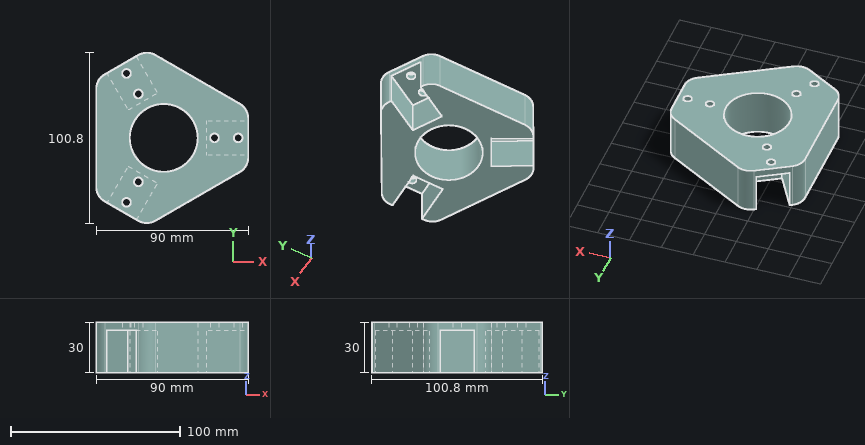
import cadquery as cq
import math

height = 30.0
long_side_distance = 40.0
short_side_distance = 50.0
corner_radius = 10.0
bore_diameter = 40.0

arm_count = 3
arm_step = 360.0 / arm_count
arm_angles = [index * arm_step for index in range(arm_count)]

bolt_hole_diameter = 5.0
bolt_hole_distances = (30.0, 44.0)

slot_width = 20.0
slot_inner_distance = 25.0
roof_thickness = 5.0
slot_height = height - roof_thickness
slot_length = short_side_distance - slot_inner_distance


def turned(x, y, angle):
    """Rotate a point about the Z axis by an angle in degrees."""
    turn = math.radians(angle)
    return (
        x * math.cos(turn) - y * math.sin(turn),
        x * math.sin(turn) + y * math.cos(turn),
    )


def make_body():
    """Six-sided block with rounded upright edges."""
    side_turn = math.radians(arm_step / 2)
    short_half_length = (
        long_side_distance - short_side_distance * math.cos(side_turn)
    ) / math.sin(side_turn)
    corners = [
        turned(short_side_distance, end, angle)
        for angle in arm_angles
        for end in (-short_half_length, short_half_length)
    ]
    block = cq.Workplane("XY").polyline(corners).close().extrude(height)
    return block.edges("|Z").fillet(corner_radius)


def make_bore():
    """Central through bore."""
    return cq.Workplane("XY").circle(bore_diameter / 2).extrude(height)


def make_arm_cut(angle):
    """Slot and bolt holes of one arm."""
    slot = (
        cq.Workplane("XY")
        .center(slot_inner_distance + slot_length / 2, 0)
        .rect(slot_length, slot_width)
        .extrude(slot_height)
    )
    bolt_holes = (
        cq.Workplane("XY")
        .pushPoints([(distance, 0) for distance in bolt_hole_distances])
        .circle(bolt_hole_diameter / 2)
        .extrude(height)
    )
    return slot.union(bolt_holes).rotate((0, 0, 0), (0, 0, 1), angle)


result = make_body().cut(make_bore())
for arm_angle in arm_angles:
    result = result.cut(make_arm_cut(arm_angle))